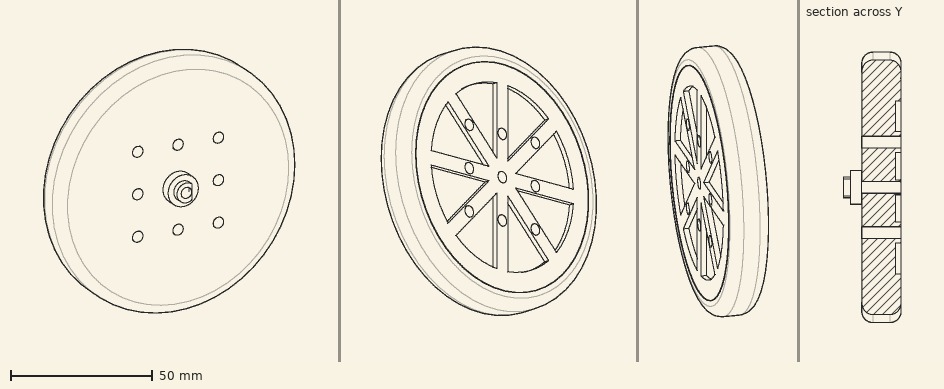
import cadquery as cq
import math

wheel_diameter = 96.0
wheel_width = 14.0
tread_fillet = 4.0

groove_outer_radius = 42.0
groove_width = 0.1
groove_depth = 0.2

hub_diameter = 12.0
hub_length = 4.0
stub_diameter = 7.5
stub_length = 2.5
stub_flat_offset = 2.2

spoke_count = 8
spoke_width = 5.4
pocket_outer_radius = 34.6
pocket_depth = 2.0

hole_diameter = 4.1
hole_pitch = 16.0
holes_per_side = 3

total_width = wheel_width + hub_length + stub_length


def disc(diameter, start, length):
    """Solid cylinder on the axle, running from X = start towards +X."""
    return cq.Workplane("YZ").workplane(offset=start).circle(diameter / 2).extrude(length)


def drive_stub():
    """Short shaft end with one flat facing +Y."""
    start = wheel_width + hub_length
    radius = stub_diameter / 2
    half_flat = math.sqrt(radius**2 - stub_flat_offset**2)
    return (
        cq.Workplane("YZ")
        .workplane(offset=start)
        .moveTo(stub_flat_offset, -half_flat)
        .lineTo(stub_flat_offset, half_flat)
        .threePointArc((-radius, 0), (stub_flat_offset, -half_flat))
        .close()
        .extrude(stub_length)
    )


def groove():
    """Narrow ring cut into the outer face."""
    return (
        cq.Workplane("YZ")
        .circle(groove_outer_radius)
        .circle(groove_outer_radius - groove_width)
        .extrude(groove_depth)
    )


def sector_pockets():
    """Disc with the spokes removed, leaving one sector per gap."""
    sectors = disc(2 * pocket_outer_radius, 0, pocket_depth)
    for index in range(spoke_count // 2):
        spoke_pair = cq.Workplane("XY").box(
            2 * pocket_depth, 2 * wheel_diameter, spoke_width
        )
        angle = index * 360 / spoke_count
        sectors = sectors.cut(spoke_pair.rotate((0, 0, 0), (1, 0, 0), angle))
    return sectors


def through_holes():
    """Grid of holes; the middle one also passes through hub and stub."""
    return (
        cq.Workplane("YZ")
        .rarray(hole_pitch, hole_pitch, holes_per_side, holes_per_side)
        .circle(hole_diameter / 2)
        .extrude(total_width)
    )


wheel = disc(wheel_diameter, 0, wheel_width).edges().fillet(tread_fillet)
hub = disc(hub_diameter, wheel_width, hub_length)

result = (
    wheel.union(hub)
    .union(drive_stub())
    .cut(groove())
    .cut(sector_pockets())
    .cut(through_holes())
)